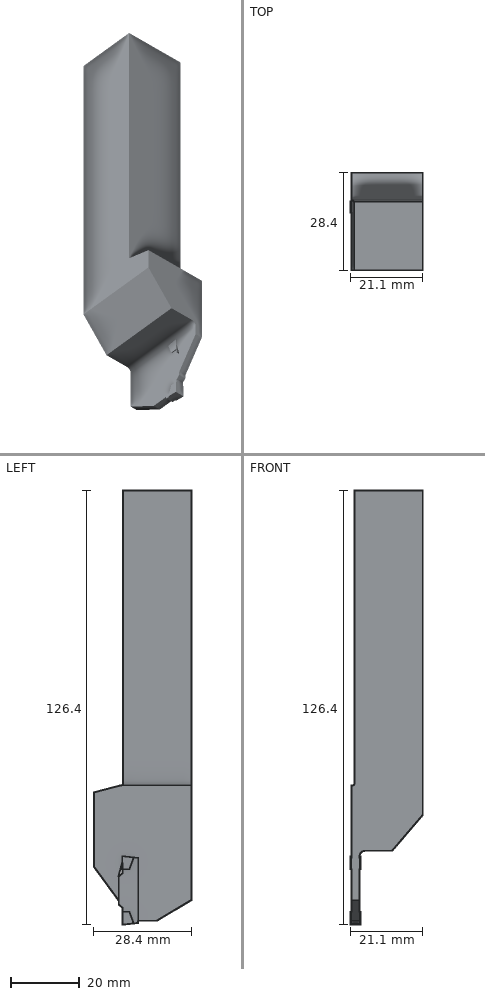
import cadquery as cq

total_length = 126.4
total_width = 21.1
shank_side = 20.0

head_depth = 28.4
head_shoulder_z = 40.5
head_front_top_z = 38.5
head_front_low_z = 16.9
head_bottom_z = 1.1
back_chamfer_y = 10.1
back_chamfer_z = 7.2
ramp_end_z = 7.1
ledge_front_y = 20.7
root_fillet = 0.5

blade_thickness = 2.4
relief_z = 21.5
relief_fillet = 1.5
side_chamfer_x = -9.0
side_chamfer_z = 32.0

insert_width = 3.0
insert_length = 20.0
insert_back_y = 15.5
edge_y = 20.1
crown_y = 21.2
crown_end_z = 6.0
crown_foot_z = 4.9
end_clearance = 0.5
pad_height = 3.8
pad_inner_y = 18.1
pad_outer_y = 16.8
gap_top_z = 18.2

insert_overhang = (insert_width - blade_thickness) / 2
blade_left_x = insert_overhang - total_width
blade_right_x = blade_left_x + blade_thickness
insert_mid_z = insert_length / 2


def extrude_along_x(outline, x_start, x_end):
    """Prism with a (Y, Z) outline between two X positions."""
    sketch = cq.Workplane("YZ", origin=(x_start, 0, 0)).polyline(outline).close()
    return sketch.extrude(x_end - x_start)


def extrude_along_y(outline):
    """Prism with an (X, Z) outline through the whole head depth."""
    return cq.Workplane("XZ").polyline(outline).close().extrude(-head_depth)


def upper(z):
    """Height mirrored to the other end of the insert."""
    return insert_length - z


insert_outline = [
    (insert_back_y, end_clearance),
    (edge_y, 0),
    (edge_y, crown_foot_z),
    (crown_y, crown_end_z),
    (crown_y, upper(crown_end_z)),
    (edge_y, upper(crown_foot_z)),
    (edge_y, upper(0)),
    (insert_back_y, upper(end_clearance)),
]


def make_head():
    outline = [
        (0, head_shoulder_z),
        (ledge_front_y, head_shoulder_z),
        (head_depth, head_front_top_z),
        (head_depth, head_front_low_z),
        (crown_y, ramp_end_z),
        (insert_back_y, head_bottom_z),
        (back_chamfer_y, head_bottom_z),
        (0, back_chamfer_z),
    ]
    return extrude_along_x(outline, blade_left_x, 0)


def make_shank():
    height = total_length - head_shoulder_z
    base = cq.Workplane("XY", origin=(-shank_side, 0, head_shoulder_z))
    return base.rect(shank_side, shank_side, centered=False).extrude(height)


def make_blank():
    """Head and shank, with a fillet along the two root edges above the ledge."""
    blank = make_head().union(make_shank())
    side_root = cq.selectors.NearestToPointSelector((-shank_side, shank_side / 2, head_shoulder_z))
    front_root = cq.selectors.NearestToPointSelector((-shank_side / 2, shank_side, head_shoulder_z))
    return blank.edges(side_root + front_root).fillet(root_fillet)


def make_relief():
    outline = [
        (blade_right_x, 0),
        (blade_right_x, relief_z),
        (side_chamfer_x, relief_z),
        (0, side_chamfer_z),
        (0, 0),
    ]
    inner_corner = cq.selectors.NearestToPointSelector((blade_right_x, head_depth / 2, relief_z))
    return extrude_along_y(outline).edges(inner_corner).fillet(relief_fillet)


def make_pocket():
    """Insert seat through the blade, with a small gap in front of the upper edge."""
    seat = extrude_along_x(insert_outline, blade_left_x, blade_right_x)
    gap_outline = [
        (crown_y, upper(crown_end_z)),
        (edge_y, upper(crown_foot_z)),
        (edge_y, gap_top_z),
    ]
    return seat.union(extrude_along_x(gap_outline, blade_left_x, blade_right_x))


def make_holder():
    return make_blank().cut(make_relief()).cut(make_pocket())


def make_cutting_end():
    """Lower end of the insert, wider than the blade on both sides."""
    clearance_slope = end_clearance / (edge_y - insert_back_y)
    outline = [
        (edge_y, 0),
        (edge_y, pad_height),
        (pad_inner_y, pad_height),
        (pad_outer_y, clearance_slope * (edge_y - pad_outer_y)),
    ]
    return extrude_along_x(outline, -total_width, insert_width - total_width)


def make_insert():
    body = extrude_along_x(insert_outline, blade_left_x, blade_right_x)
    lower_end = make_cutting_end()
    upper_end = lower_end.mirror("XY", (0, 0, insert_mid_z))
    return body.union(lower_end).union(upper_end)


holder = make_holder()
insert = make_insert()
result = cq.Compound.makeCompound([holder.val(), insert.val()])